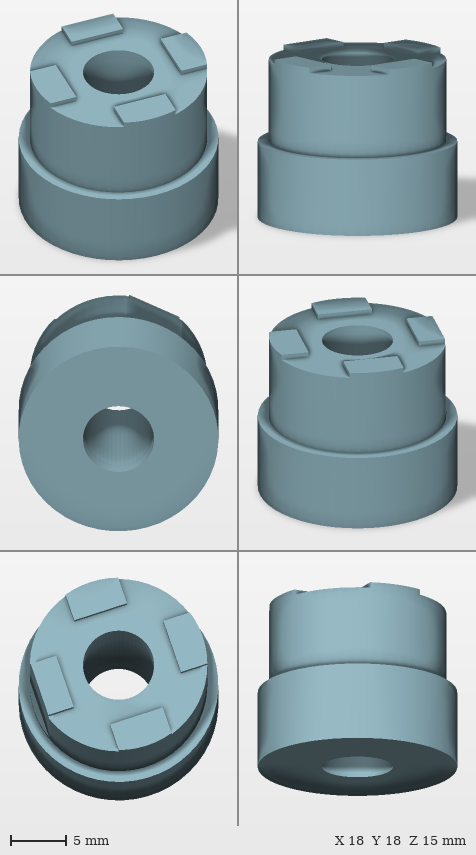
import cadquery as cq

base_diameter = 18
neck_diameter = 16.0
bore_diameter = 6.4
total_height = 15.0
base_height = 7.0
lug_height = 0.5
lug_width = 5.0
lug_inner_distance = 5.1
lug_count = 4
flat_distance = 7.5
flat_bottom = 7.49

neck_radius = neck_diameter / 2
neck_top = total_height - lug_height


def make_body():
    """Round base with a narrower neck on top."""
    base = cq.Workplane("XY").circle(base_diameter / 2).extrude(base_height)
    neck = cq.Workplane("XY").circle(neck_radius).extrude(neck_top)
    return base.union(neck)


def make_lugs():
    """Raised pads around the neck rim, trimmed to the neck's round outline."""
    lug_length = neck_radius - lug_inner_distance
    lug = (
        cq.Workplane("XY", origin=(lug_inner_distance, 0, neck_top))
        .box(lug_length, lug_width, lug_height, centered=(False, True, False))
    )
    lugs = cq.Workplane("XY")
    for index in range(lug_count):
        angle = index * 360 / lug_count
        lugs = lugs.add(lug.rotate((0, 0, 0), (0, 0, 1), angle))
    outline = cq.Workplane("XY").circle(neck_radius).extrude(total_height)
    return outline.intersect(lugs.combine())


def make_flat_cutter():
    """Block that cuts the flat, leaving a thin step above the base."""
    return (
        cq.Workplane("XY", origin=(-flat_distance, 0, flat_bottom))
        .box(
            neck_radius,
            neck_diameter,
            total_height - flat_bottom,
            centered=(False, True, False),
        )
        .translate((-neck_radius, 0, 0))
    )


bore = cq.Workplane("XY").circle(bore_diameter / 2).extrude(total_height)

result = make_body().union(make_lugs()).cut(make_flat_cutter()).cut(bore)